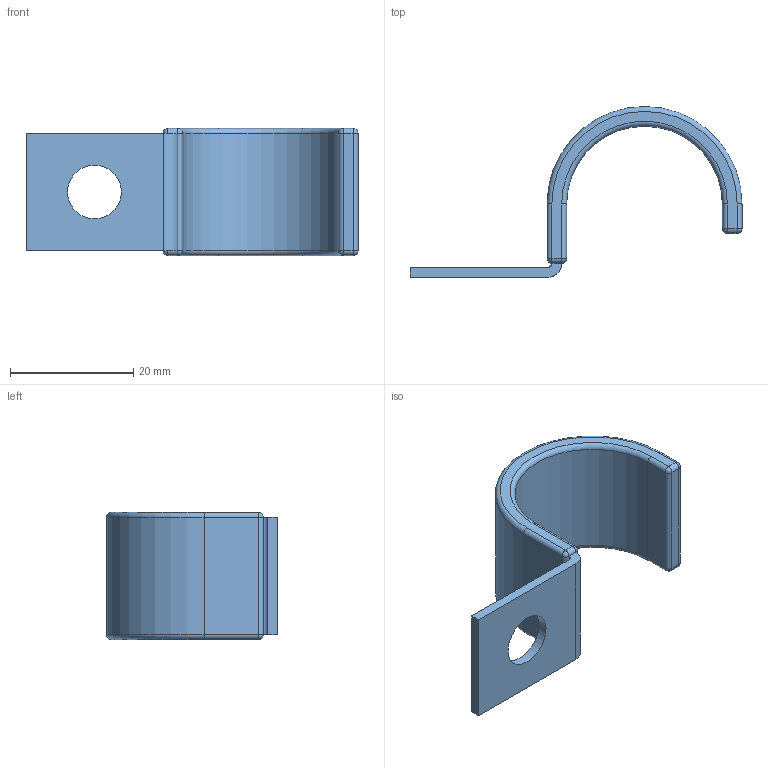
import cadquery as cq


INCH = 25.4
strip_thickness = INCH / 16
strip_width = 0.75 * INCH
coating = INCH / 32
hook_outer_diameter = 31.65
overall_length = 53.89
overall_depth = 27.72
free_leg_length = 4.76
hole_diameter = 8.73
hole_from_tab_end = 11.11
bend_inner_radius = 0.7

wall = strip_thickness + 2 * coating
coated_width = strip_width + 2 * coating
outer_radius = hook_outer_diameter / 2
pipe_radius = outer_radius - wall

tab_end_x = outer_radius - overall_length
tab_outer_y = outer_radius - overall_depth
tab_inner_y = tab_outer_y + strip_thickness
bend_outer_radius = bend_inner_radius + strip_thickness
strip_inner_x = -pipe_radius - coating
bend_center_x = strip_inner_x - bend_outer_radius
bend_center_y = tab_outer_y + bend_outer_radius
coated_leg_end_y = bend_center_y


def make_coated_hook():
    """Half ring with two straight legs, rounded on every outer edge."""
    hook = (
        cq.Workplane("XY")
        .workplane(offset=-coated_width / 2)
        .moveTo(-outer_radius, coated_leg_end_y)
        .lineTo(-outer_radius, 0)
        .threePointArc((0, outer_radius), (outer_radius, 0))
        .lineTo(outer_radius, -free_leg_length)
        .lineTo(pipe_radius, -free_leg_length)
        .lineTo(pipe_radius, 0)
        .threePointArc((0, pipe_radius), (-pipe_radius, 0))
        .lineTo(-pipe_radius, coated_leg_end_y)
        .close()
        .extrude(coated_width)
    )
    return hook.faces("<Z or >Z or -Y").edges().fillet(coating)


def make_tab():
    """Bare strip: flat mounting tab, 90 degree bend and a stub inside the coated leg."""
    strip_outer_x = strip_inner_x - strip_thickness
    stub_top_y = coated_leg_end_y + wall
    return (
        cq.Workplane("XY")
        .workplane(offset=-strip_width / 2)
        .moveTo(tab_end_x, tab_outer_y)
        .lineTo(bend_center_x, tab_outer_y)
        .radiusArc((strip_inner_x, bend_center_y), -bend_outer_radius)
        .lineTo(strip_inner_x, stub_top_y)
        .lineTo(strip_outer_x, stub_top_y)
        .lineTo(strip_outer_x, bend_center_y)
        .radiusArc((bend_center_x, tab_inner_y), bend_inner_radius)
        .lineTo(tab_end_x, tab_inner_y)
        .close()
        .extrude(strip_width)
    )


def make_hole_cutter():
    """Cylinder along Y through the middle of the tab."""
    return (
        cq.Workplane("XZ", origin=(0, tab_inner_y, 0))
        .center(tab_end_x + hole_from_tab_end, 0)
        .circle(hole_diameter / 2)
        .extrude(strip_thickness)
    )


result = make_coated_hook().union(make_tab().cut(make_hole_cutter()))